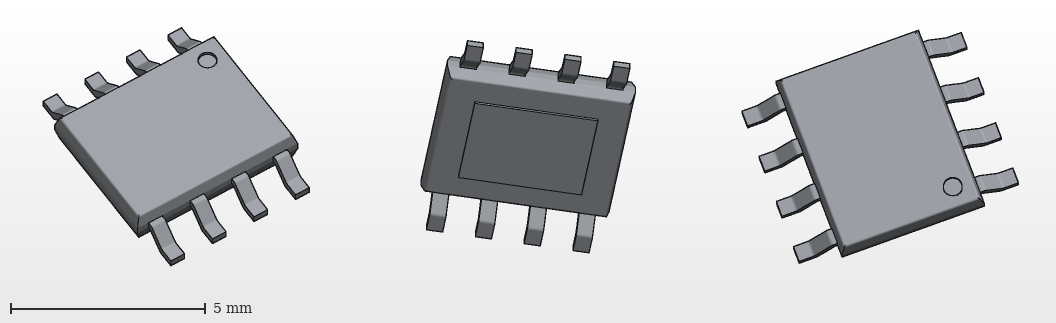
import cadquery as cq
import math


OVERALL_LENGTH = 6.0
OVERALL_HEIGHT = 1.0

HOUSING_WIDTH = 3.9
HOUSING_DEPTH = 4.9
STANDOFF = 0.07
HOUSING_TAPER = 0.095
HOUSING_EDGE_RADIUS = 0.055

MARK_DIAMETER = 0.485
MARK_DEPTH = 0.09
MARK_X = -1.315
MARK_Y = 1.81

LEADS_PER_SIDE = 4
LEAD_PITCH = 1.27
LEAD_WIDTH = 0.42
LEAD_THICKNESS = 0.21
LEAD_TOP = 0.66
FOOT_LENGTH = 0.415
SHOULDER_LENGTH = 0.145
BEND_RADIUS = 0.11

PAD_WIDTH = 2.41
PAD_DEPTH = 3.21

LEAD_UNDERSIDE = LEAD_TOP - LEAD_THICKNESS
LEAD_TIP_X = OVERALL_LENGTH / 2
LEAD_ROOT_X = HOUSING_WIDTH / 2


def tapered_half(belt_height, face_height):
    """Half of the housing, from the belt outline to the smaller end face."""
    return (
        cq.Workplane("XY")
        .workplane(offset=belt_height)
        .rect(HOUSING_WIDTH, HOUSING_DEPTH)
        .workplane(offset=face_height - belt_height)
        .rect(HOUSING_WIDTH - 2 * HOUSING_TAPER, HOUSING_DEPTH - 2 * HOUSING_TAPER)
        .loft(ruled=True)
    )


def make_housing():
    """Moulded housing with rounded end-face edges and a round index mark."""
    belt = (
        cq.Workplane("XY")
        .workplane(offset=LEAD_UNDERSIDE)
        .rect(HOUSING_WIDTH, HOUSING_DEPTH)
        .extrude(LEAD_THICKNESS)
    )
    housing = (
        belt
        .union(tapered_half(LEAD_TOP, OVERALL_HEIGHT))
        .union(tapered_half(LEAD_UNDERSIDE, STANDOFF))
        .faces("<Z or >Z")
        .edges()
        .fillet(HOUSING_EDGE_RADIUS)
    )
    mark = (
        cq.Workplane("XY")
        .workplane(offset=OVERALL_HEIGHT)
        .center(MARK_X, MARK_Y)
        .circle(MARK_DIAMETER / 2)
        .extrude(-MARK_DEPTH)
    )
    return housing.cut(mark)


def make_lead(y_center):
    """Gull-wing lead on the +X side, of constant thickness along its bends."""
    foot_bend_x = LEAD_TIP_X - FOOT_LENGTH
    shoulder_bend_x = LEAD_ROOT_X + SHOULDER_LENGTH
    slope = math.atan2(LEAD_UNDERSIDE, foot_bend_x - shoulder_bend_x)
    miter_shift = LEAD_THICKNESS * math.tan(slope / 2)
    end_clearance = miter_shift / 2
    between_ends = cq.selectors.BoxSelector(
        (LEAD_ROOT_X + end_clearance, -HOUSING_DEPTH, -LEAD_THICKNESS),
        (LEAD_TIP_X - end_clearance, HOUSING_DEPTH, OVERALL_HEIGHT),
    )
    return (
        cq.Workplane("XZ", origin=(0, y_center + LEAD_WIDTH / 2, 0))
        .moveTo(LEAD_TIP_X, 0)
        .lineTo(LEAD_TIP_X, LEAD_THICKNESS)
        .lineTo(foot_bend_x, LEAD_THICKNESS)
        .lineTo(shoulder_bend_x, LEAD_TOP)
        .lineTo(LEAD_ROOT_X, LEAD_TOP)
        .lineTo(LEAD_ROOT_X, LEAD_UNDERSIDE)
        .lineTo(shoulder_bend_x - miter_shift, LEAD_UNDERSIDE)
        .lineTo(foot_bend_x - miter_shift, 0)
        .close()
        .extrude(LEAD_WIDTH)
        .edges("|Y")
        .edges(between_ends)
        .fillet(BEND_RADIUS)
    )


def make_pad():
    """Thermal pad filling the gap between the seating plane and the housing."""
    return cq.Workplane("XY").rect(PAD_WIDTH, PAD_DEPTH).extrude(STANDOFF)


housing = make_housing()
pad = make_pad()

leads = []
for index in range(LEADS_PER_SIDE):
    lead_y = (index - (LEADS_PER_SIDE - 1) / 2) * LEAD_PITCH
    right_lead = make_lead(lead_y)
    leads.append(right_lead.val())
    leads.append(right_lead.mirror("YZ").val())

result = cq.Compound.makeCompound([housing.val(), pad.val(), *leads])